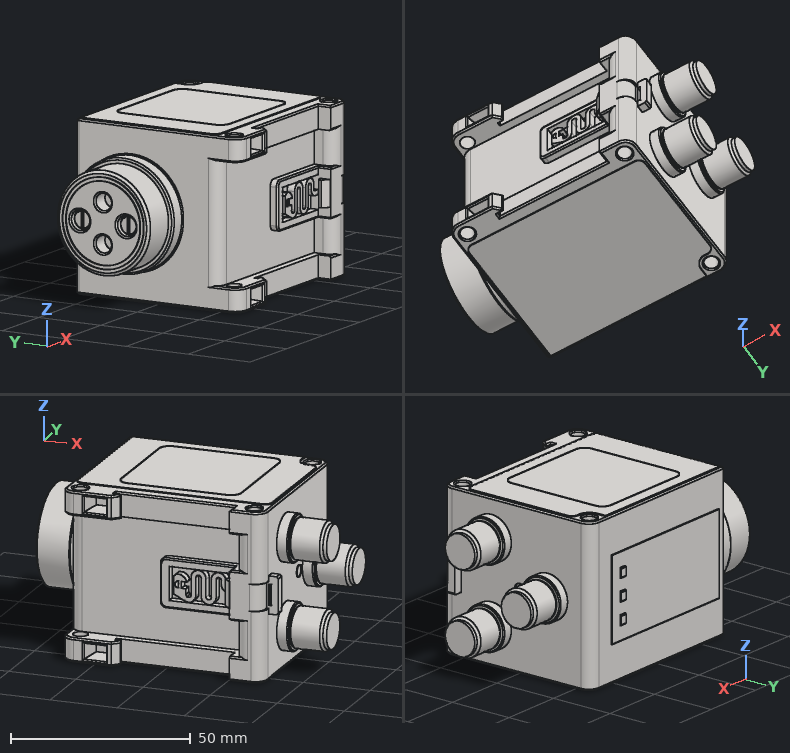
import cadquery as cq
import math


overall_length = 89.8
length = 60.1
depth = 52.8
overall_height = 50.4
cover_thickness = 0.3
half_height = overall_height / 2 - cover_thickness
corner_radius = 3.6
back_corner_radius = 0.9
edge_chamfer = 0.49

channel_left = 14.9
channel_right = 50.1
channel_floor = 4.0
tooth_tip = 16.8
tooth_top = 3.0
tooth_tip_top = 2.8
tooth_tip_bottom = 2.0

slab_inner = 17.9
recess_face = 6.5
recess_foot_left = 51.8

hole_diameter = 4.2
hole_mouth_diameter = 5.0
hole_near = 4.1
hole_back = 3.8
hole_centers = [
    (hole_near, hole_near),
    (length - hole_near, hole_near),
    (length - hole_near, depth - hole_back),
]

pocket_center_x = 10.0
pocket_center_z = 21.5
pocket_sections = [
    ((7.5, 5.5), 0),
    ((6.7, 4.7), 0.45),
    ((3.9, 3.5), 6.3),
]

cover_left, cover_right = 1.1, 59.0
cover_front, cover_back = 7.8, 52.1
cover_radius = 2.2
cover_notch_radius = 3.4
label_center = (29.9, 29.9)
label_size = 35.8
label_radius = 3.1
label_depth = 0.135

back_plate_left, back_plate_right = 3.0, 50.9
back_plate_width = 26.4
back_plate_top = 53.2
button_top = 53.6
button_x = 46.3
button_size = (2.2, 3.1)
button_pitch = 7.0
button_chamfer = 0.3

socket_y = 34.9
socket_length = 15.5
socket_radius = 15.0
socket_chamfer = (0.6, 0.9)
socket_collar_radius = 16.5
socket_collar_length = 5.0
socket_collar_chamfer = 0.5
socket_foot_flare = 0.4
insert_radius = 24.0 / 2
insert_groove_radius = 13.1
insert_groove_depth = 0.3
contact_chamfer = 0.49
open_contact_diameter = 5.0
open_contact_offset = 6.0
open_contact_depth = 5.4
slotted_contact_diameter = 6.0
slotted_contact_offset = 7.45
slotted_contact_depth = 1.35
contact_pin_diameter = 5.0
contact_gap_depth = 0.9
contact_slot_width = 0.8
contact_slot_depth = 0.9

plug_centers = [(17.6, 12.9), (17.6, -12.9), (37.5, 0)]
plug_length = overall_length - socket_length - length
plug_collar_radius = 7.0
plug_collar_length = 3.3
plug_collar_chamfer = 0.4
plug_radius = 6.0
plug_neck_radius = 5.75
plug_neck_length = 0.4
plug_tip_radius = 10.5 / 2
plug_taper_start = 12.4
plug_taper_end = 13.1
lens_diameter = 3.5
lens_y = 27.7
lens_height = 0.2

frame_left = 27.8
frame_half_width = 14.6 / 2
frame_radius = 1.8
frame_chamfer = 0.45
window_left = 30.5
window_half_width = 10.0 / 2
latch_half_width = 3.95
latch_tip = 48.0
latch_tooth_front, latch_tooth_back = 0.2, 3.5
latch_end = 59.5
tab_reach = 63.0
tab_half_width = 5.6
tab_front, tab_back = 4.3, 6.8
tab_chamfer = 0.5
tab_slot_end = 60.9
tab_slot_half_width = 3.05
tab_slot_depth = 1.35

spring_width = 1.4
spring_wavelength = 6.0
spring_pitch = spring_wavelength / 2
spring_radius = spring_pitch / 2
spring_bar_half = 2.6
spring_first_bar = 37.8
spring_bar_count = 3
head_left = 31.9
head_top = 3.05
head_bottom = -2.9
head_foot = (35.0, -4.5)
head_bevel = 0.8
head_brow_start = 33.7
head_brow_mid = (35.0, 2.3)
head_brow_end = 35.8
mouth_left = 34.2
mouth_half = 1.0
eye_flat = 33.3
eye_half = 1.0

overlap = 0.45
clearance = 0.9


def box(x0, x1, y0, y1, z0, z1):
    """Axis-aligned block between the given limits."""
    return cq.Workplane("XY").box(x1 - x0, y1 - y0, z1 - z0, centered=False).translate((x0, y0, z0))


def mirrored(part):
    """The part together with its mirror image across the mid-plane."""
    return part.union(part.mirror("XY"))


def arc_mid(center, radius, degrees):
    """Point on a circle at the given angle, used as the middle of an arc."""
    angle = math.radians(degrees)
    return (center[0] + radius * math.cos(angle), center[1] + radius * math.sin(angle))


def rail_outline():
    """Outline of the housing seen along Z, with the rail channel and its left tooth."""
    r = corner_radius
    b = back_corner_radius
    return (
        cq.Workplane("XY")
        .moveTo(r, 0)
        .lineTo(channel_left, 0)
        .lineTo(tooth_tip, tooth_tip_bottom)
        .lineTo(tooth_tip, tooth_tip_top)
        .lineTo(channel_left, tooth_top)
        .lineTo(channel_left, channel_floor)
        .lineTo(channel_right, channel_floor)
        .lineTo(channel_right, 0)
        .lineTo(length - r, 0)
        .threePointArc(arc_mid((length - r, r), r, -45), (length, r))
        .lineTo(length, depth - r)
        .threePointArc(arc_mid((length - r, depth - r), r, 45), (length - r, depth))
        .lineTo(b, depth)
        .threePointArc(arc_mid((b, depth - b), b, 135), (0, depth - b))
        .lineTo(0, r)
        .threePointArc(arc_mid((r, r), r, 225), (r, 0))
        .close()
    )


def middle_recess():
    """Cutter that sets the middle of the rail side back between the end slabs."""
    r = corner_radius
    left, front = -clearance, -clearance
    return (
        cq.Workplane("XY", origin=(0, 0, -slab_inner))
        .moveTo(left, front)
        .lineTo(left, recess_face + r)
        .lineTo(0, recess_face + r)
        .threePointArc(arc_mid((r, recess_face + r), r, 225), (r, recess_face))
        .lineTo(recess_foot_left, recess_face)
        .lineTo(recess_foot_left, r)
        .threePointArc(arc_mid((recess_foot_left + r, r), r, 225), (recess_foot_left + r, 0))
        .lineTo(recess_foot_left + r, front)
        .close()
        .extrude(2 * slab_inner)
    )


def rim_selector(x0, x1, y0, y1, z):
    """Selects the edges centred within the given limits at height z."""
    slack = 0.1
    return cq.selectors.BoxSelector(
        (x0 - slack, y0 - slack, z - slack), (x1 + slack, y1 + slack, z + slack)
    )


def shell():
    """Housing block with bevelled ends and the recessed middle."""
    body = rail_outline().extrude(half_height, both=True)
    body = body.faces("<Z or >Z").edges().chamfer(edge_chamfer)
    body = body.cut(middle_recess())
    for side in (-1, 1):
        z = side * slab_inner
        left_feet = rim_selector(0, tooth_tip, 0, tooth_tip_bottom, z)
        left_wall = rim_selector(0, 0, corner_radius, recess_face + corner_radius, z)
        right_feet = rim_selector(channel_right, recess_foot_left + corner_radius, 0, 0, z)
        body = body.edges(left_feet + left_wall + right_feet).chamfer(edge_chamfer)
    return body


def latch_block():
    """Block behind the latch, the gap cut for the latch, and the latch with its tooth."""
    block = box(
        channel_right, length - corner_radius, 0, recess_face + overlap,
        -frame_half_width, frame_half_width,
    )
    block = block.edges("(|X and <Y) or (|Y and <X)").chamfer(frame_chamfer)
    gap = box(
        latch_end - corner_radius, length + clearance, -clearance, tab_front,
        -latch_half_width, latch_half_width,
    )
    strip = box(channel_right, latch_end, 0, tab_back, -latch_half_width, latch_half_width)
    strip = strip.edges("|Z and >X and <Y").fillet(corner_radius)
    tooth = (
        cq.Workplane("XY", origin=(0, 0, -latch_half_width))
        .polyline([
            (channel_right + overlap, latch_tooth_front),
            (channel_right, latch_tooth_front),
            (latch_tip, tooth_tip_bottom),
            (latch_tip, tooth_tip_top),
            (channel_right, latch_tooth_back),
            (channel_right + overlap, latch_tooth_back),
        ])
        .close()
        .extrude(2 * latch_half_width)
    )
    return block, gap, strip.union(tooth)


def release_tab():
    """Tab standing out of the right wall, with a shallow screwdriver slot."""
    tab = box(length - overlap, tab_reach, tab_front, tab_back, -tab_half_width, tab_half_width)
    tab = tab.edges("|Y and >X").chamfer(tab_chamfer)
    slot = box(
        latch_end, tab_slot_end, tab_front, tab_front + tab_slot_depth,
        -tab_slot_half_width, tab_slot_half_width,
    )
    return tab.cut(slot)


def latch_frame():
    """Raised rim around the spring window."""
    rim = box(
        frame_left, channel_right + overlap, channel_floor, recess_face + overlap,
        -frame_half_width, frame_half_width,
    )
    rim = rim.edges("|Y and <X").fillet(frame_radius)
    outer_edges = rim.faces("<Y").edges("not >X")
    rim = outer_edges.chamfer(frame_chamfer)
    window = box(
        window_left, channel_right, channel_floor - clearance, recess_face,
        -window_half_width, window_half_width,
    )
    return rim.cut(window)


def spring():
    """Serpentine spring: a head, straight bars joined by arches, and a hooked tail."""
    top, bottom = channel_floor, recess_face + overlap
    half = spring_width / 2

    def bar(x, z0, z1):
        return box(x - half, x + half, top, bottom, z0, z1)

    def ring_part(x, z, x0, x1, z0, z1):
        ring = (
            cq.Workplane("XZ", origin=(x, bottom, z))
            .circle(spring_radius + half)
            .circle(spring_radius - half)
            .extrude(bottom - top)
        )
        return ring.intersect(box(x + x0, x + x1, top, bottom, z + z0, z + z1))

    reach = spring_pitch
    arch_x = spring_first_bar - spring_radius
    body = ring_part(arch_x, -spring_bar_half, -reach, reach, -reach, 0)
    for i in range(spring_bar_count):
        x = spring_first_bar + i * spring_pitch
        body = body.union(bar(x, -spring_bar_half, spring_bar_half))
        side = 1 if i % 2 == 0 else -1
        z_limits = (0, reach) if side > 0 else (-reach, 0)
        body = body.union(
            ring_part(x + spring_radius, side * spring_bar_half, -reach, reach, *z_limits)
        )
    tail_x = spring_first_bar + spring_bar_count * spring_pitch
    body = body.union(bar(tail_x, spring_radius, spring_bar_half))
    body = body.union(ring_part(tail_x + spring_radius, spring_radius, -reach, 0, -reach, 0))
    body = body.union(
        box(tail_x + spring_radius, channel_right + overlap, top, bottom, -half, half)
    )

    neck = spring_first_bar - spring_pitch + half
    head = (
        cq.Workplane("XZ", origin=(0, bottom, 0))
        .moveTo(head_left, head_bottom)
        .lineTo(head_left, head_top - head_bevel)
        .lineTo(head_left + head_bevel, head_top)
        .lineTo(head_brow_start, head_top)
        .threePointArc(head_brow_mid, (head_brow_end, mouth_half))
        .lineTo(mouth_left, mouth_half)
        .lineTo(mouth_left, -mouth_half)
        .lineTo(neck, -mouth_half)
        .lineTo(neck, -spring_bar_half)
        .lineTo(arch_x, -spring_bar_half - spring_radius)
        .lineTo(*head_foot)
        .close()
        .extrude(bottom - top)
    )
    eye = (
        cq.Workplane("XZ", origin=(0, bottom, 0))
        .moveTo(eye_flat, eye_half)
        .threePointArc((eye_flat - eye_half, 0), (eye_flat, -eye_half))
        .close()
        .extrude(bottom - top)
    )
    return body.union(head).cut(eye)


def foot_pocket():
    """Tapered pocket in the upper left foot, bevelled at the mouth."""
    pocket = cq.Workplane("XY")
    for (size_a, depth_a), (size_b, depth_b) in zip(pocket_sections, pocket_sections[1:]):
        stage = (
            cq.Workplane("XZ", origin=(pocket_center_x, depth_a, pocket_center_z))
            .rect(*size_a)
            .workplane(offset=depth_a - depth_b)
            .rect(*size_b)
            .loft()
        )
        pocket = pocket.union(stage)
    return pocket


def cover():
    """Thin raised cover on the upper end, notched around the back screw hole."""
    x, y = hole_centers[2]
    height = cover_thickness + overlap
    plate = (
        cq.Workplane("XY", origin=(0, 0, half_height - overlap))
        .moveTo(cover_left, cover_front)
        .lineTo(cover_right, cover_front)
        .lineTo(cover_right, y - cover_notch_radius)
        .lineTo(x, y - cover_notch_radius)
        .threePointArc(arc_mid((x, y), cover_notch_radius, 225), (x - cover_notch_radius, y))
        .lineTo(x - cover_notch_radius, cover_back)
        .lineTo(cover_left, cover_back)
        .close()
        .extrude(height)
    )
    rounded = plate.edges("|Z and <X and <Y").fillet(cover_radius)
    return rounded.edges("|Z and >X").fillet(cover_radius)


def label_recess():
    """Cutter for the shallow rounded label area on the upper cover."""
    blank = box(0, label_size, 0, label_size, 0, clearance).edges("|Z").fillet(label_radius)
    return blank.translate((
        label_center[0] - label_size / 2,
        label_center[1] - label_size / 2,
        half_height + cover_thickness - label_depth,
    ))


def screw_holes():
    """Cutters for the through holes, widened at both mouths."""
    end = half_height
    mouth = (hole_mouth_diameter - hole_diameter) / 2
    hole = (
        cq.Workplane("XZ")
        .polyline([
            (0, 0),
            (hole_diameter / 2, 0),
            (hole_diameter / 2, end - mouth),
            (hole_mouth_diameter / 2, end),
            (hole_mouth_diameter / 2, end + clearance),
            (0, end + clearance),
        ])
        .close()
        .revolve(360, (0, 0, 0), (0, 1, 0))
    )
    hole = mirrored(hole)
    cutter = cq.Workplane("XY")
    for x, y in hole_centers:
        cutter = cutter.add(hole.translate((x, y, 0)))
    return cutter.combine()


def back_plate():
    """Thin plate on the back wall with a row of buttons."""
    half = back_plate_width / 2
    plate = box(back_plate_left, back_plate_right, depth - overlap, back_plate_top, -half, half)
    width, height = button_size
    for i in (-1, 0, 1):
        button = cq.Workplane("XY").box(width, 2 * (button_top - back_plate_top), height)
        button = button.faces(">Y").edges("|X").chamfer(button_chamfer)
        plate = plate.union(button.translate((button_x, back_plate_top, i * button_pitch)))
    return plate


def turned(points, x, y, z):
    """Solid of revolution about an X-parallel axis from (x, radius) points."""
    profile = cq.Workplane("XY").polyline(points).close()
    return profile.revolve(360, (0, 0, 0), (1, 0, 0)).translate((x, y, z))


def contact(offset_y, offset_z, diameter, hole_depth):
    """Cutter for one contact opening with a bevelled mouth."""
    r = diameter / 2
    mouth = r + contact_chamfer
    points = [(0, 0), (0, mouth), (contact_chamfer, r), (hole_depth, r), (hole_depth, 0)]
    return turned(points, -socket_length, socket_y + offset_y, offset_z)


def power_socket():
    """Large round connector: stepped barrel, two open contacts and two slotted ones."""
    tip = -socket_length
    step = -socket_collar_length
    body = turned(
        [
            (overlap, 0),
            (overlap, socket_collar_radius + socket_foot_flare),
            (0, socket_collar_radius + socket_foot_flare),
            (-socket_foot_flare, socket_collar_radius),
            (step + socket_collar_chamfer, socket_collar_radius),
            (step, socket_collar_radius - socket_collar_chamfer),
            (step, socket_radius),
            (tip + socket_chamfer[0], socket_radius),
            (tip, socket_radius - socket_chamfer[1]),
            (tip, insert_groove_radius),
            (tip + insert_groove_depth, insert_groove_radius),
            (tip + insert_groove_depth, insert_radius),
            (tip, insert_radius),
            (tip, 0),
        ],
        0, socket_y, 0,
    )
    slot_start = tip + slotted_contact_depth
    slot_half = contact_slot_width / 2
    slot_reach = contact_pin_diameter / 2
    for side in (-1, 1):
        body = body.cut(
            contact(0, side * open_contact_offset, open_contact_diameter, open_contact_depth)
        )
        offset = side * slotted_contact_offset
        body = body.cut(contact(offset, 0, slotted_contact_diameter, slotted_contact_depth))
        y = socket_y + offset
        gap = (
            cq.Workplane("YZ", origin=(slot_start - overlap, y, 0))
            .circle(slotted_contact_diameter / 2)
            .circle(contact_pin_diameter / 2)
            .extrude(overlap + contact_gap_depth)
        )
        body = body.cut(gap)
        body = body.cut(
            box(
                slot_start - overlap, slot_start + contact_slot_depth,
                y - slot_half, y + slot_half, -slot_reach, slot_reach,
            )
        )
    return body


def plug(y, z):
    """One round signal connector on the right wall."""
    return turned(
        [
            (-overlap, 0),
            (-overlap, plug_collar_radius),
            (plug_collar_length - plug_collar_chamfer, plug_collar_radius),
            (plug_collar_length, plug_collar_radius - plug_collar_chamfer),
            (plug_collar_length, plug_neck_radius),
            (plug_collar_length + plug_neck_length, plug_neck_radius),
            (plug_collar_length + plug_neck_length, plug_radius),
            (plug_taper_start, plug_radius),
            (plug_taper_end, plug_tip_radius),
            (plug_length, plug_tip_radius),
            (plug_length, 0),
        ],
        length, y, z,
    )


lens = turned(
    [
        (-overlap, 0),
        (-overlap, lens_diameter / 2),
        (lens_height, lens_diameter / 2),
        (lens_height, 0),
    ],
    length, lens_y, 0,
)
block, latch_gap, latch = latch_block()

housing = shell().union(block).cut(latch_gap).union(latch)
housing = housing.union(latch_frame()).union(spring()).union(release_tab())
housing = housing.cut(mirrored(foot_pocket()))
housing = housing.union(mirrored(cover())).cut(label_recess()).cut(screw_holes())
housing = housing.union(back_plate()).union(power_socket()).union(lens)
for plug_y, plug_z in plug_centers:
    housing = housing.union(plug(plug_y, plug_z))

result = housing